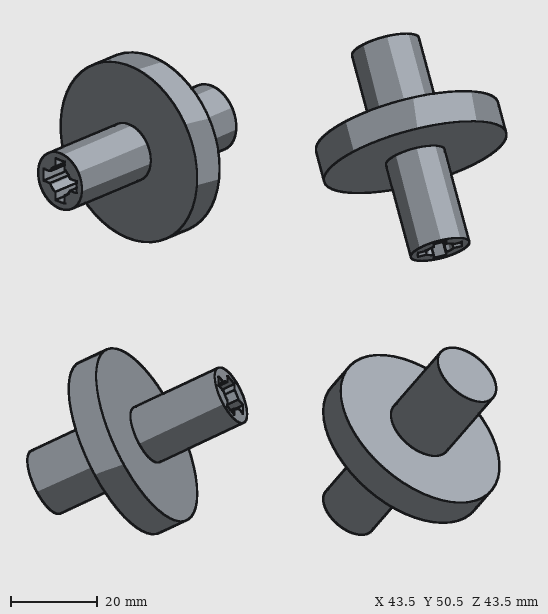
import cadquery as cq

total_length = 50.5
front_shaft_length = 23.0
flange_thickness = 7.5
rear_shaft_length = total_length - front_shaft_length - flange_thickness

flange_diameter = 43.5
front_shaft_diameter = 14.0
rear_shaft_diameter = 16.0

socket_span = 10.5
socket_arm_width = 3.0
socket_core_diameter = 7.0
socket_depth = front_shaft_length

front_end_y = -total_length / 2
flange_front_y = front_end_y + front_shaft_length
flange_rear_y = flange_front_y + flange_thickness


def plane_at(y):
    """Sketch plane facing +Y at the given position along the axis."""
    return cq.Workplane(cq.Plane(origin=(0, y, 0), xDir=(1, 0, 0), normal=(0, 1, 0)))


def disc(y, diameter, length):
    """Cylinder starting at y and running toward +Y."""
    return plane_at(y).circle(diameter / 2).extrude(length)


def cross_socket():
    """Two crossed bars joined with a round core."""
    start = plane_at(front_end_y)
    flat_arms = start.rect(socket_span, socket_arm_width).extrude(socket_depth)
    upright_arms = start.rect(socket_arm_width, socket_span).extrude(socket_depth)
    core = disc(front_end_y, socket_core_diameter, socket_depth)
    return flat_arms.union(upright_arms).union(core)


front_shaft = disc(front_end_y, front_shaft_diameter, front_shaft_length)
flange = disc(flange_front_y, flange_diameter, flange_thickness)
rear_shaft = disc(flange_rear_y, rear_shaft_diameter, rear_shaft_length)

result = front_shaft.union(flange).union(rear_shaft).cut(cross_socket())